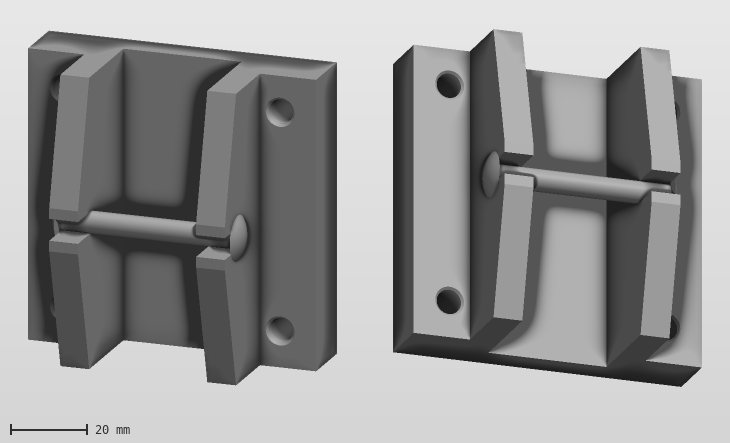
import cadquery as cq

PLATE_SIZE = 80.0
PLATE_THICKNESS = 16.0

CHANNEL_WIDTH = 32.8
WALL_THICKNESS = 8.0
CHANNEL_FLOOR = 8.0
WALL_REACH = 43.0
WALL_END_REACH = 34.4
TIP_HEIGHT = 11.8

HOLE_SPACING = 60.0
HOLE_DIAMETER = 6.7
HOLE_CHAMFER = 0.6

PIN_DIAMETER = 6.0
PIN_SETBACK = 10.0
HEAD_DIAMETER = 12.5
HEAD_HEIGHT = 2.0

PIN_REACH = WALL_REACH - PIN_SETBACK
WALL_SPAN = CHANNEL_WIDTH + 2 * WALL_THICKNESS
HALF_HEIGHT = PLATE_SIZE / 2


def make_plate():
    """Square plate with its front face at Y = -PLATE_THICKNESS."""
    return cq.Workplane("XY").box(
        PLATE_SIZE, PLATE_THICKNESS, PLATE_SIZE, centered=(True, False, True)
    ).translate((0, -PLATE_THICKNESS, 0))


def make_wall_block():
    """Tapered profile of the walls, extruded over both walls and the channel."""
    profile = [
        (0, -HALF_HEIGHT),
        (-WALL_END_REACH, -HALF_HEIGHT),
        (-WALL_REACH, -TIP_HEIGHT / 2),
        (-WALL_REACH, TIP_HEIGHT / 2),
        (-WALL_END_REACH, HALF_HEIGHT),
        (0, HALF_HEIGHT),
    ]
    return cq.Workplane("YZ").polyline(profile).close().extrude(WALL_SPAN / 2, both=True)


def make_channel():
    """Full-height cutter that separates the two walls."""
    depth = WALL_REACH - CHANNEL_FLOOR
    return cq.Workplane("XY").box(
        CHANNEL_WIDTH, depth, PLATE_SIZE, centered=(True, False, True)
    ).translate((0, -WALL_REACH, 0))


def make_pin_slot():
    """Cutter for the round-ended slot, open at the wall tips, that holds the pin."""
    radius = PIN_DIAMETER / 2
    return (
        cq.Workplane("YZ")
        .moveTo(-WALL_REACH, -radius)
        .lineTo(-PIN_REACH, -radius)
        .threePointArc((-PIN_REACH + radius, 0), (-PIN_REACH, radius))
        .lineTo(-WALL_REACH, radius)
        .close()
        .extrude(WALL_SPAN / 2, both=True)
    )


def make_mounting_holes():
    """List of cutters for the four through holes, each chamfered at the plate's front face."""
    mouth_radius = HOLE_DIAMETER / 2 + HOLE_CHAMFER
    profile = [
        (0, 0),
        (HOLE_DIAMETER / 2, 0),
        (HOLE_DIAMETER / 2, -PLATE_THICKNESS + HOLE_CHAMFER),
        (mouth_radius, -PLATE_THICKNESS),
        (0, -PLATE_THICKNESS),
    ]
    hole = cq.Workplane("XY").polyline(profile).close().revolve(360, (0, 0), (0, 1))
    offset = HOLE_SPACING / 2
    centers = [(x, 0, z) for x in (-offset, offset) for z in (-offset, offset)]
    return [hole.translate(center) for center in centers]


def make_bracket():
    """Plate and slotted walls as one body."""
    bracket = make_plate().union(make_wall_block())
    bracket = bracket.cut(make_channel()).cut(make_pin_slot())
    for hole in make_mounting_holes():
        bracket = bracket.cut(hole)
    return bracket


def make_pin():
    """Round pin with a domed head against the outer face of each wall."""
    seat = WALL_SPAN / 2
    end = seat + HEAD_HEIGHT
    shank_radius = PIN_DIAMETER / 2
    head_radius = HEAD_DIAMETER / 2
    dome_radius = (head_radius**2 + HEAD_HEIGHT**2) / (2 * HEAD_HEIGHT)
    mid_height = HEAD_HEIGHT / 2
    mid_radius = (2 * dome_radius * mid_height - mid_height**2) ** 0.5
    return (
        cq.Workplane("XY")
        .moveTo(-end, 0)
        .threePointArc((-end + mid_height, mid_radius), (-seat, head_radius))
        .lineTo(-seat, shank_radius)
        .lineTo(seat, shank_radius)
        .lineTo(seat, head_radius)
        .threePointArc((end - mid_height, mid_radius), (end, 0))
        .close()
        .revolve(360, (0, 0), (1, 0))
        .translate((0, -PIN_REACH, 0))
    )


bracket = make_bracket()
pin = make_pin()

result = cq.Compound.makeCompound([*bracket.solids().vals(), *pin.solids().vals()])